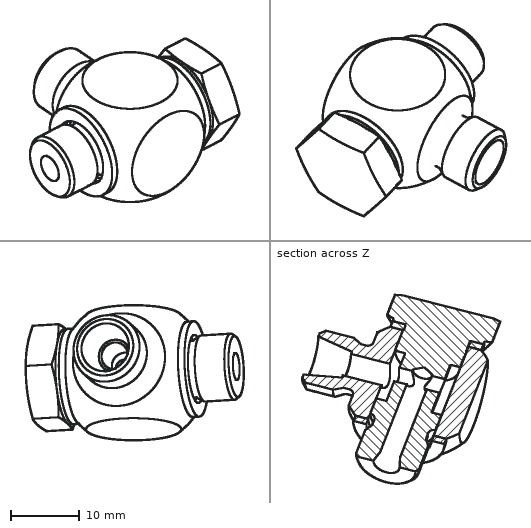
import cadquery as cq
import math

OVERALL_LENGTH_X = 25.0
OVERALL_LENGTH_Y = 30.0

HOUSING_SIZE = 17.0
HOUSING_SPHERE_DIAMETER = 22.0

PORT_THREAD_DIAMETER = 10.0
PORT_NECK_DIAMETER = 8.4
PORT_UNDERCUT_LENGTH = 3.0
PORT_CHAMFER = 0.75
PORT_CONE_MOUTH_DIAMETER = 7.17
PORT_CONE_SEAT_DIAMETER = 4.83
PORT_CONE_HALF_ANGLE = 12.0
PORT_BORE_DIAMETER = 4.0

RING_DIAMETER = 14.0
RING_THICKNESS = 1.0

HEX_SIDES = 6
HEX_ACROSS_FLATS = 14.0
HEX_HEIGHT = 4.5
HEX_CHAMFER_ANGLE = 15.0
COLLAR_DIAMETER = 14.0
COLLAR_HEIGHT = 0.5
GUIDE_DIAMETER = 9.95
WAIST_DIAMETER = 7.0
WAIST_HALF_LENGTH = 4.5
BOLT_THREAD_DIAMETER = 9.72
BOLT_NECK_DIAMETER = 8.3
BOLT_THREAD_START_OFFSET = 1.0
BOLT_TIP_CHAMFER_LENGTH = 0.55
BOLT_TIP_CHAMFER_DEPTH = 0.4
BOLT_BORE_DIAMETER = 3.0
BOLT_BORE_MOUTH_DIAMETER = 4.0
BOLT_BORE_TAPER_LENGTH = 1.85
BOLT_BORE_END_Y = 2.0
DRILL_POINT_ANGLE = 118.0
CROSS_HOLE_DIAMETER = 2.5
CROSS_HOLE_Y = 0.5

UNDERCUT_ANGLE = 30.0
UNDERCUT_RADIUS = 0.8
BOLT_UNDERCUT_LENGTH = 3.0

HALF_HOUSING = HOUSING_SIZE / 2
PORT_TIP_X = HALF_HOUSING - OVERALL_LENGTH_X
PORT_THREAD_END_X = -HALF_HOUSING - PORT_UNDERCUT_LENGTH
RING_FACE_Y = HALF_HOUSING + RING_THICKNESS
HEAD_FACE_Y = RING_FACE_Y + COLLAR_HEIGHT
HEAD_END_Y = HEAD_FACE_Y + HEX_HEIGHT
BOLT_TIP_Y = HEAD_END_Y - OVERALL_LENGTH_Y
BOLT_THREAD_END_Y = -RING_FACE_Y - BOLT_THREAD_START_OFFSET


def trace_undercut(profile, thread_end, shoulder, thread_radius, neck_radius):
    """Continue an (axis, radius) profile from the thread end, down a cone to the neck, and up
    a quarter fillet that ends on the shoulder face."""
    angle = math.radians(UNDERCUT_ANGLE)
    blend_radius_drop = UNDERCUT_RADIUS * (1 - math.cos(angle))
    cone_length = (thread_radius - neck_radius - blend_radius_drop) / math.tan(angle)
    cone_end = thread_end + cone_length
    neck_start = cone_end + UNDERCUT_RADIUS * math.sin(angle)
    fillet_start = shoulder - UNDERCUT_RADIUS
    half = angle / 2
    return (
        profile.lineTo(cone_end, neck_radius + blend_radius_drop)
        .threePointArc(
            (neck_start - UNDERCUT_RADIUS * math.sin(half),
             neck_radius + UNDERCUT_RADIUS * (1 - math.cos(half))),
            (neck_start, neck_radius),
        )
        .lineTo(fillet_start, neck_radius)
        .threePointArc(
            (fillet_start + UNDERCUT_RADIUS * math.sin(math.pi / 4),
             neck_radius + UNDERCUT_RADIUS * (1 - math.cos(math.pi / 4))),
            (shoulder, neck_radius + UNDERCUT_RADIUS),
        )
    )


def revolve_about_x(profile):
    return profile.close().revolve(360, (0, 0, 0), (1, 0, 0))


def revolve_about_y(profile):
    """Revolve an (axis, radius) profile, then turn its axis from X to Y."""
    return revolve_about_x(profile).rotate((0, 0, 0), (0, 0, 1), 90)


def cylinder_y(diameter, start_y, end_y):
    return (
        cq.Workplane("XZ", origin=(0, start_y, 0)).circle(diameter / 2).extrude(start_y - end_y)
    )


def make_port():
    thread_radius = PORT_THREAD_DIAMETER / 2
    profile = (
        cq.Workplane("XY")
        .moveTo(PORT_TIP_X, 0)
        .lineTo(PORT_TIP_X, thread_radius - PORT_CHAMFER)
        .lineTo(PORT_TIP_X + PORT_CHAMFER, thread_radius)
        .lineTo(PORT_THREAD_END_X, thread_radius)
    )
    profile = trace_undercut(
        profile, PORT_THREAD_END_X, -HALF_HOUSING, thread_radius, PORT_NECK_DIAMETER / 2
    )
    return revolve_about_x(profile.lineTo(-HALF_HOUSING, 0))


def make_port_cavity():
    """Tapered tube seat followed by the flow bore, which ends inside the housing bore."""
    mouth_radius = PORT_CONE_MOUTH_DIAMETER / 2
    seat_radius = PORT_CONE_SEAT_DIAMETER / 2
    cone_length = (mouth_radius - seat_radius) / math.tan(math.radians(PORT_CONE_HALF_ANGLE))
    seat_x = PORT_TIP_X + cone_length
    profile = (
        cq.Workplane("XY")
        .moveTo(PORT_TIP_X, 0)
        .lineTo(PORT_TIP_X, mouth_radius)
        .lineTo(seat_x, seat_radius)
        .lineTo(seat_x, PORT_BORE_DIAMETER / 2)
        .lineTo(0, PORT_BORE_DIAMETER / 2)
        .lineTo(0, 0)
    )
    return revolve_about_x(profile)


def make_housing():
    cube = cq.Workplane("XY").box(HOUSING_SIZE, HOUSING_SIZE, HOUSING_SIZE)
    block = cube.intersect(cq.Workplane("XY").sphere(HOUSING_SPHERE_DIAMETER / 2))
    bolt_bore = cylinder_y(GUIDE_DIAMETER, -HALF_HOUSING, HALF_HOUSING)
    return block.union(make_port()).cut(bolt_bore).cut(make_port_cavity())


def make_ring(start_y):
    end_y = start_y + RING_THICKNESS
    return cylinder_y(RING_DIAMETER, start_y, end_y).cut(
        cylinder_y(GUIDE_DIAMETER, start_y, end_y)
    )


def make_hex_head():
    """Hexagon with two flats facing +Z and -Z, its corners chamfered at both ends."""
    flat_radius = HEX_ACROSS_FLATS / 2
    corner_radius = flat_radius / math.cos(math.pi / HEX_SIDES)
    chamfer_height = (corner_radius - flat_radius) * math.tan(math.radians(HEX_CHAMFER_ANGLE))
    hexagon = (
        cq.Workplane("XZ", origin=(0, HEAD_FACE_Y, 0))
        .polygon(HEX_SIDES, 2 * corner_radius)
        .extrude(-HEX_HEIGHT)
    )
    envelope = (
        cq.Workplane("XY")
        .moveTo(HEAD_FACE_Y, 0)
        .lineTo(HEAD_FACE_Y, flat_radius)
        .lineTo(HEAD_FACE_Y + chamfer_height, corner_radius)
        .lineTo(HEAD_END_Y - chamfer_height, corner_radius)
        .lineTo(HEAD_END_Y, flat_radius)
        .lineTo(HEAD_END_Y, 0)
    )
    return hexagon.intersect(revolve_about_y(envelope))


def make_bolt_stem():
    """Thread, undercut, guide lands around the slimmer waist, and the collar under the head."""
    thread_radius = BOLT_THREAD_DIAMETER / 2
    undercut_end = BOLT_THREAD_END_Y + BOLT_UNDERCUT_LENGTH
    profile = (
        cq.Workplane("XY")
        .moveTo(BOLT_TIP_Y, 0)
        .lineTo(BOLT_TIP_Y, thread_radius - BOLT_TIP_CHAMFER_DEPTH)
        .lineTo(BOLT_TIP_Y + BOLT_TIP_CHAMFER_LENGTH, thread_radius)
        .lineTo(BOLT_THREAD_END_Y, thread_radius)
    )
    profile = trace_undercut(
        profile, BOLT_THREAD_END_Y, undercut_end, thread_radius, BOLT_NECK_DIAMETER / 2
    )
    profile = (
        profile.lineTo(undercut_end, GUIDE_DIAMETER / 2)
        .lineTo(-WAIST_HALF_LENGTH, GUIDE_DIAMETER / 2)
        .lineTo(-WAIST_HALF_LENGTH, WAIST_DIAMETER / 2)
        .lineTo(WAIST_HALF_LENGTH, WAIST_DIAMETER / 2)
        .lineTo(WAIST_HALF_LENGTH, GUIDE_DIAMETER / 2)
        .lineTo(RING_FACE_Y, GUIDE_DIAMETER / 2)
        .lineTo(RING_FACE_Y, COLLAR_DIAMETER / 2)
        .lineTo(HEAD_FACE_Y, COLLAR_DIAMETER / 2)
        .lineTo(HEAD_FACE_Y, 0)
    )
    return revolve_about_y(profile)


def make_bolt_bore():
    """Blind bore from the tip with a tapered mouth and a drill point."""
    bore_radius = BOLT_BORE_DIAMETER / 2
    mouth_radius = BOLT_BORE_MOUTH_DIAMETER / 2
    point_length = bore_radius / math.tan(math.radians(DRILL_POINT_ANGLE / 2))
    profile = (
        cq.Workplane("XY")
        .moveTo(BOLT_TIP_Y, 0)
        .lineTo(BOLT_TIP_Y, mouth_radius)
        .lineTo(BOLT_TIP_Y + BOLT_BORE_TAPER_LENGTH, bore_radius)
        .lineTo(BOLT_BORE_END_Y, bore_radius)
        .lineTo(BOLT_BORE_END_Y + point_length, 0)
    )
    return revolve_about_y(profile)


def make_bolt():
    """Stem and hex head, drilled along the axis and crosswise right through the waist."""
    cross_hole = (
        cq.Workplane("YZ", origin=(0, CROSS_HOLE_Y, 0))
        .circle(CROSS_HOLE_DIAMETER / 2)
        .extrude(WAIST_DIAMETER, both=True)
    )
    bolt = make_bolt_stem().union(make_hex_head())
    return bolt.cut(make_bolt_bore()).cut(cross_hole)


housing = make_housing()
rings = [make_ring(start_y) for start_y in (-RING_FACE_Y, HALF_HOUSING)]
bolt = make_bolt()

result = cq.Compound.makeCompound([housing.val(), bolt.val(), *[ring.val() for ring in rings]])